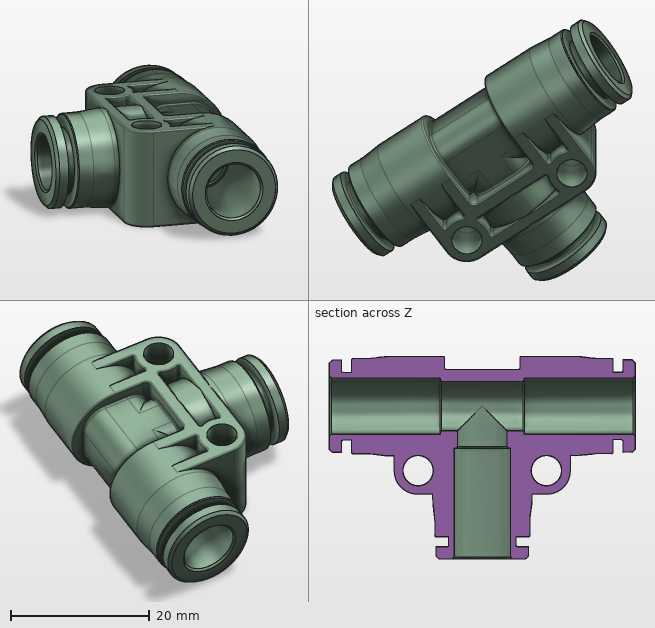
import cadquery as cq


port_reach = 22.1
body_radius = 7.2
sleeve_radius = 6.9
flange_radius = 6.7
neck_radius = 4.9
flange_width = 1.8
flange_chamfer = 0.45
neck_length = 1.4
neck_fillet = 0.22
sleeve_length = 2.3
sleeve_edge_chamfer = 0.15
flare_length = 3.15
flange_start = port_reach - flange_width
sleeve_end = flange_start - neck_length
sleeve_start = sleeve_end - sleeve_length
flare_start = sleeve_start - flare_length

socket_radius = 4.05
passage_radius = 3.55
socket_depth = 16.0
mouth_chamfer = 0.3
passage_chamfer = 0.25
socket_floor = port_reach - socket_depth

waist_half_width = 5.31
waist_half_height = 5.33
waist_corner_radius = 3.43
waist_half_length = 5.45
waist_wall_y = -5.43
waist_wall_radius = 0.85
waist_base_fillet = 0.28
anchor_depth = 0.5
anchor_growth = 0.5

hole_radius = 2.17
hole_x = 9.27
hole_y = -9.32
plate_corner_radius = 3.43
plate_half_width = 12.75
plate_front_y = hole_y - plate_corner_radius
rim_fillet = 0.2
hole_wall_radius = 3.5

slot_inner_x = 7.4
slot_outer_x = 10.9
window_back_y = -7.4
window_front_y = -10.9
pocket_corner_radius = 0.3

branch_start_y = (waist_wall_y + window_back_y) / 2


def prism(x_min, x_max, y_min, y_max):
    """Rectangular block through the full plate thickness."""
    outline = cq.Workplane("XY").moveTo((x_min + x_max) / 2, (y_min + y_max) / 2)
    return outline.rect(x_max - x_min, y_max - y_min).extrude(body_radius, both=True)


def at_holes(radius):
    """Cylinders on both clamping-hole axes."""
    centers = [(-hole_x, hole_y), (hole_x, hole_y)]
    return cq.Workplane("XY").pushPoints(centers).circle(radius).extrude(body_radius, both=True)


def turned(solid, angle):
    """Solid turned about Z by an angle in degrees."""
    return solid.rotate((0, 0, 0), (0, 0, 1), angle)


def at_each_port(solid):
    """Copies of a solid made along +X, turned to the +X, -X and -Y ports."""
    return [turned(solid, angle) for angle in (0, 180, -90)]


def port_end():
    """Sleeve with an S-curved flare, release-collar neck and flange, revolved about X."""
    profile = (
        cq.Workplane("XY")
        .moveTo(flange_start, 0)
        .lineTo(port_reach, 0)
        .lineTo(port_reach, flange_radius - flange_chamfer)
        .lineTo(port_reach - flange_chamfer, flange_radius)
        .lineTo(flange_start, flange_radius)
        .lineTo(flange_start, neck_radius + neck_fillet)
        .radiusArc((flange_start - neck_fillet, neck_radius), neck_fillet)
        .lineTo(sleeve_end, neck_radius)
        .lineTo(sleeve_end, sleeve_radius - sleeve_edge_chamfer)
        .lineTo(sleeve_end - sleeve_edge_chamfer, sleeve_radius)
        .lineTo(sleeve_start, sleeve_radius)
        .spline([(flare_start, body_radius)], tangents=[(-1, 0), (-1, 0)], includeCurrent=True)
        .lineTo(flare_start, 0)
        .close()
    )
    return profile.revolve(360, (0, 0, 0), (1, 0, 0))


def port_bore():
    """Tube socket and passage with chamfered entries, revolved about X."""
    profile = (
        cq.Workplane("XY")
        .lineTo(0, passage_radius)
        .lineTo(socket_floor - passage_chamfer, passage_radius)
        .lineTo(socket_floor, passage_radius + passage_chamfer)
        .lineTo(socket_floor, socket_radius)
        .lineTo(port_reach - mouth_chamfer, socket_radius)
        .lineTo(port_reach, socket_radius + mouth_chamfer)
        .lineTo(port_reach, 0)
        .close()
    )
    return profile.revolve(360, (0, 0, 0), (1, 0, 0))


def waist_notch():
    """Gap between the run bodies, closed by the waist wall of the plate."""
    notch = prism(-waist_half_length, waist_half_length, waist_wall_y, body_radius)
    return notch.edges("|Z and <Y").fillet(waist_wall_radius)


def slot():
    """Open slot between two ribs, closed by the wall around the clamping hole."""
    pocket_start = hole_y + hole_wall_radius / 2
    pocket = prism(slot_inner_x, slot_outer_x, pocket_start, body_radius)
    return pocket.cut(at_holes(hole_wall_radius)).edges("|Z and (not >Y)").fillet(pocket_corner_radius)


def window():
    """Pocket between the two clamping holes."""
    pocket = prism(-hole_x, hole_x, window_front_y, window_back_y).cut(at_holes(hole_wall_radius))
    middle = pocket.solids(cq.selectors.NearestToPointSelector((0, hole_y, 0)))
    return middle.edges("|Z").fillet(pocket_corner_radius)


def plate():
    """Plate and ribs, open right through at the notch, slots and window, with rounded rims."""
    block = prism(-plate_half_width, plate_half_width, plate_front_y, 0)
    block = block.edges("|Z and <Y").fillet(plate_corner_radius)
    block = block.cut(waist_notch()).cut(window()).cut(slot()).cut(slot().mirror("YZ"))
    return block.faces("|Z").edges("not(>Y)").fillet(rim_fillet)


def run_body():
    """Round body on the +X side with its inner rim rounded."""
    body = cq.Workplane("YZ", origin=(waist_half_length, 0, 0)).circle(body_radius)
    body = body.extrude(flare_start - waist_half_length)
    return body.faces("<X").edges().fillet(rim_fillet)


def waist_bar(length, growth):
    """Round-cornered rectangular bar from the origin along +X, enlarged all around by the growth."""
    width = 2 * (waist_half_width + growth)
    height = 2 * (waist_half_height + growth)
    bar = cq.Workplane("YZ").rect(width, height).extrude(length)
    return bar.edges("|X").fillet(waist_corner_radius + growth)


def waist_arm(length):
    """Waist duct along +X with a filleted foot at the given distance, anchored behind the foot wall."""
    anchor = waist_bar(anchor_depth, anchor_growth).translate((length, 0, 0))
    arm = waist_bar(length, 0).union(anchor)
    wall = arm.faces("|X").faces(cq.selectors.NearestToPointSelector((length, 0, 0)))
    foot = wall.val().innerWires()[0].Edges()
    return arm.newObject(foot).fillet(waist_base_fillet)


def housing():
    """Plate, run bodies and waist arms joined."""
    joined = plate()
    for side in (run_body(), waist_arm(waist_half_length)):
        joined = joined.union(side).union(side.mirror("YZ"))
    return joined.union(turned(waist_arm(-waist_wall_y), -90))


def branch_body():
    """Round body on the -Y side."""
    body = cq.Workplane("XZ", origin=(0, branch_start_y, 0)).circle(body_radius)
    return body.extrude(branch_start_y + flare_start)


result = housing().union(branch_body())
for end in at_each_port(port_end()):
    result = result.union(end)
for bore in at_each_port(port_bore()):
    result = result.cut(bore)
result = result.cut(at_holes(hole_radius))